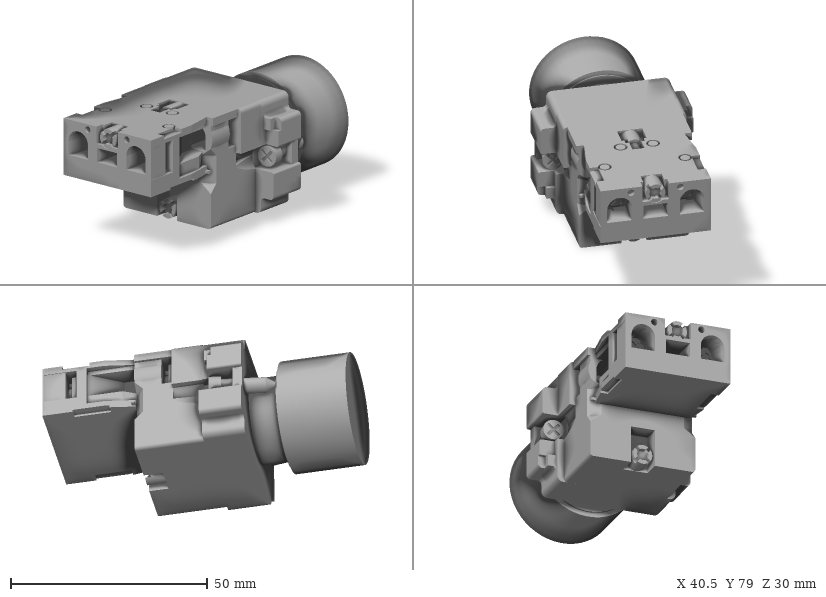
import cadquery as cq


CONTACT_BACK = 24.0
WING_FRONT = 34.0
COLLAR_FRONT = 42.0
COLLAR_BACK = 53.0
RIM_FRONT = 60.5
HEAD_FRONT = 61.0
HEAD_BACK = 79.0

HEAD_RADIUS = 14.5
RIM_RADIUS = 13.25
STEM_RADIUS = 11.0

TOP = 15.0
BODY_HALF_WIDTH = 14.4
CLAMP_SCREW_Z = 12.35
CLAMP_SCREW_RADIUS = 2.6
CLAMP_SCREW_BORE = 1.55
CLAMP_SCREW_BORE_DEPTH = 1.5
CLAMP_SLOT_WIDTH = 0.9
CLAMP_SCREW_LENGTH = 5.0
CLAMP_SCREW_SETBACK = 0.3
CLAMP_POCKET_HALF_WIDTH = 3.3

COLLAR_HALF_WIDTH = 16.2
COLLAR_CORNER = 1.6
EAR_HALF_SPAN = 20.25
EAR_INNER_Z = 3.2
EAR_OUTER_Z = 10.6
EAR_CORNER = 1.1
EAR_INNER_CORNER = 0.5
EAR_ROOT_RADIUS = 1.0
BRIDGE_HALF_SPAN = 19.2
BRIDGE_FRONT = 50.6
SCREW_WELL_INNER_X = 13.6
LATCH_FACE_Y = 44.0
LATCH_TAB_Y = 43.0
LATCH_NOTCH_Y = 45.1
LATCH_Z = 7.5
LATCH_X = 18.4

FIX_TILT = 8.1
FIX_X_AT_COLLAR_BACK = 15.2
FIX_SHANK_RADIUS = 2.0
FIX_HEAD_RADIUS = 2.7
FIX_HEAD_FRONT = 43.8
FIX_HEAD_BACK = 47.0
FIX_CONE_START = 58.4
FIX_TIP = 60.8
FIX_TIP_RADIUS = 0.6
CLEARANCE_RADIUS = 5.05
CLEARANCE_SHIFT = 1.55
CLEARANCE_OVERRUN = 1.0
UNDERCUT_DEPTH = 1.3
UNDERCUT_ROOT_Z = 0.3
UNDERCUT_BOTTOM_Z = -0.3

CROSS_WIDTH = 0.8
CROSS_DEPTH = 0.6
CROSS_HALF_LENGTH = 2.1

CARRIER_BOTTOM_FILLET = 0.9
WING_HALF_WIDTH = 16.1
WING_BOTTOM_Z = 3.1
WING_FILLET = 1.1
LIP_HALF_WIDTH = 15.1
LIP_BOTTOM_Z = 12.9
CHANNEL_Z = 9.0
CHANNEL_HALF_HEIGHT = 2.25
CHANNEL_BULGE = 0.5
CHANNEL_RADIUS = (CHANNEL_HALF_HEIGHT**2 + CHANNEL_BULGE**2) / (2 * CHANNEL_BULGE)
LEAD_Y = 31.0
SIDE_RECESS_BOTTOM_Z = 5.0
LOWER_POCKET_TOP_Z = -5.1
CORNER_CUT_X = 11.3
CORNER_CUT_Y = 26.2
CORNER_CUT_TOP = 4.3
CORNER_CUT_BOTTOM = -3.15
CORNER_TIP_RISE = 2.3

BLOCK_BOTTOM = -0.2
TAPER_HALF_WIDTH = 13.1
TAPER_START = 16.2
SHANK_RADIUS = 1.6
SHANK_FRONT = 19.1
SHANK_COLLAR_FRONT = 22.7
SHANK_COLLAR_HALF_WIDTH = 2.55
CLAMP_MOUTH_HALF_WIDTH = 3.5
CLAMP_MOUTH_DEPTH = 2.3
CLAMP_THROAT_HALF_WIDTH = 2.75
CLAMP_MOUTH_BOTTOM_Z = 10.4
FLANK_FRONT = 11.5
FLANK_TOP = 13.3
FLANK_TOP_INNER = 12.1
FLANK_LIP_X = 12.8
FLANK_DEEP_X = 8.1
FLANK_DEEP_Y = 20.0
FLANK_SHELF_X = 13.2
FLANK_LOWER_X = 11.5
FLANK_LOWER_Y = 20.7
FLANK_LEDGE = 5.25
FLANK_BOTTOM = 1.9
NUB_LENGTH = 0.9
NUB_BOTTOM = 0.2
NUB_TOP = 0.9
ARCH_X = 9.5
ARCH_INNER_X = 6.3
ARCH_OUTER_X = 12.7
ARCH_OUTER_X_DEEP = 11.0
ARCH_SPRING_Z = 9.25
ARCH_BOTTOM = 5.5
TERMINAL_BACK = 8.9
TERMINAL_FRONT = 6.0
TERMINAL_X = 9.0
TERMINAL_Z = 8.6
TERMINAL_RADIUS = 2.5
TERMINAL_ROUNDING = 0.7
PLATE_INNER_X = 6.0
PLATE_OUTER_X = 12.8
PLATE_HALF_HEIGHT = 3.5
TERMINAL_PLATE_FRONT = 7.4
TERMINAL_PLATE_BACK = 8.5
WINDOW_TOP = 12.9
WINDOW_BOTTOM = 4.3
WINDOW_RELIEF = 0.15
RELIEF_FRONT = 0.3
SLOT_HALF_WIDTH = 3.27
SLOT_TOP = 9.3
SLOT_DEPTH = 8.0
PROBE_X = 6.45
PROBE_Z = 13.55
PROBE_RADIUS = 0.9
PROBE_DEPTH = 3.0
RING_OUTER_RADIUS = 1.75
RING_INNER_RADIUS = 1.25
RING_DEPTH = 0.8
RING_CENTERS = [(-4.25, 21.0), (4.25, 21.0), (-10.5, 12.0), (10.5, 12.0)]
NOTCH_FRONT = 5.2
NOTCH_BACK = 12.3
NOTCH_WIDTH = 2.2
NOTCH_DEPTH = 1.0
FOOT_FRONT = 7.9
FOOT_BACK = 17.5
FOOT_TOP = 0.4

SIDES = (-1, 1)


def block(x0, x1, y0, y1, z0, z1):
    """Box between two opposite corners, given in any order along X."""
    size = (abs(x1 - x0), y1 - y0, z1 - z0)
    corner = (min(x0, x1), y0, z0)
    return cq.Workplane("XY").box(*size, centered=False).translate(corner)


def rod(radius, y0, y1, x=0, z=0):
    """Cylinder along +Y."""
    return cq.Workplane(cq.Solid.makeCylinder(radius, y1 - y0, cq.Vector(x, y0, z), cq.Vector(0, 1, 0)))


def polyhedron(faces):
    """Solid bounded by flat faces, each a list of corners."""
    sides = []
    for corners in faces:
        loop = cq.Wire.makePolygon([cq.Vector(*p) for p in corners], close=True)
        sides.append(cq.Face.makeFromWires(loop))
    return cq.Workplane(cq.Solid.makeSolid(cq.Shell.makeShell(sides)))


def cross_recess(x, y, z):
    """Diagonal cross cut into a screw face at the given Y."""
    length = 2 * CROSS_HALF_LENGTH
    cross = cq.Workplane("XY")
    for angle in (45, 135):
        bar = cq.Workplane("XY").box(length, CROSS_DEPTH, CROSS_WIDTH)
        cross = cross.add(turned(bar, angle))
    return cross.combine().translate((x, y + CROSS_DEPTH / 2, z))


def clamp_screw(face_y, z):
    """Hollow screw head with four diagonal slots in its rim."""
    screw = rod(CLAMP_SCREW_RADIUS, face_y, face_y + CLAMP_SCREW_LENGTH, 0, z)
    screw = screw.cut(rod(CLAMP_SCREW_BORE, face_y, face_y + CLAMP_SCREW_BORE_DEPTH, 0, z))
    for angle in (45, 135):
        slot = cq.Workplane("XY").box(2 * CLAMP_SCREW_RADIUS, CLAMP_SCREW_BORE_DEPTH, CLAMP_SLOT_WIDTH)
        slot = turned(slot, angle)
        screw = screw.cut(slot.translate((0, face_y + CLAMP_SCREW_BORE_DEPTH / 2, z)))
    return screw


def make_head():
    """Actuator head: cap with a stepped rim, and the stem."""
    profile = [
        (0, COLLAR_BACK),
        (STEM_RADIUS, COLLAR_BACK),
        (STEM_RADIUS, RIM_FRONT),
        (RIM_RADIUS, RIM_FRONT),
        (RIM_RADIUS, HEAD_FRONT),
        (HEAD_RADIUS, HEAD_FRONT),
        (HEAD_RADIUS, HEAD_BACK),
        (0, HEAD_BACK),
    ]
    return cq.Workplane("XY").polyline(profile).close().revolve(360, (0, 0, 0), (0, 1, 0))


def on_fix_axis(shape):
    """Tilt a shape built around the Y axis at Y = COLLAR_BACK onto the -X fixing screw axis."""
    pivot = (0, COLLAR_BACK, 0)
    tilted = shape.rotate(pivot, (0, COLLAR_BACK, 1), -FIX_TILT)
    return tilted.translate((-FIX_X_AT_COLLAR_BACK, 0, 0))


def turned(shape, angle):
    """A shape turned about the Y axis."""
    return shape.rotate((0, 0, 0), (0, 1, 0), angle)


def mirrored(shape, side):
    """A shape built on the -X side, moved to the wanted side."""
    return shape if side < 0 else shape.mirror("YZ")


def fix_screw():
    """Fixing screw on the -X side, with a cross head in front and a pointed tip behind."""
    profile = [
        (0, FIX_HEAD_FRONT),
        (FIX_HEAD_RADIUS, FIX_HEAD_FRONT),
        (FIX_HEAD_RADIUS, FIX_HEAD_BACK),
        (FIX_SHANK_RADIUS, FIX_HEAD_BACK),
        (FIX_SHANK_RADIUS, FIX_CONE_START),
        (FIX_TIP_RADIUS, FIX_TIP),
        (0, FIX_TIP),
    ]
    screw = cq.Workplane("XY").polyline(profile).close().revolve(360, (0, 0, 0), (0, 1, 0))
    screw = screw.cut(cross_recess(0, FIX_HEAD_FRONT, 0))
    return on_fix_axis(screw)


def driver_clearance():
    """Driver scoop in front of the -X fixing screw, with a V-shaped undercut beneath the wing."""
    path = rod(CLEARANCE_RADIUS, WING_FRONT - CLEARANCE_OVERRUN, COLLAR_FRONT + CLEARANCE_OVERRUN)
    scoop = on_fix_axis(path).translate((-CLEARANCE_SHIFT, 0, 0))
    below_wing = block(
        -2 * COLLAR_HALF_WIDTH, 0, WING_FRONT, COLLAR_FRONT, -CLEARANCE_RADIUS, WING_BOTTOM_Z
    )
    undercut = cq.Workplane("XZ", origin=(0, WING_FRONT, 0)).polyline([
        (-BODY_HALF_WIDTH, WING_BOTTOM_Z),
        (UNDERCUT_DEPTH - BODY_HALF_WIDTH, UNDERCUT_ROOT_Z),
        (-BODY_HALF_WIDTH, UNDERCUT_BOTTOM_Z),
    ]).close().extrude(WING_FRONT - COLLAR_FRONT)
    return scoop.intersect(below_wing).union(undercut)


def collar_ear(side, up):
    """Clamping ear on one side of the collar, above or below the screw."""
    z0, z1 = sorted((up * EAR_INNER_Z, up * EAR_OUTER_Z))
    ear = block(0, side * EAR_HALF_SPAN, COLLAR_FRONT, COLLAR_BACK, z0, z1)
    outer_end = "<X" if side < 0 else ">X"
    far, near = (">Z", "<Z") if up > 0 else ("<Z", ">Z")
    ear = ear.edges("|Y").edges(outer_end).edges(far).fillet(EAR_CORNER)
    return ear.edges("|Y").edges(outer_end).edges(near).fillet(EAR_INNER_CORNER)


def ear_root(side, up):
    """Concave rounding between the outer face of an ear and the side of the collar."""
    x0 = side * COLLAR_HALF_WIDTH
    x1 = x0 + side * EAR_ROOT_RADIUS
    z_far = up * (EAR_OUTER_Z + EAR_ROOT_RADIUS)
    z0, z1 = sorted((up * EAR_OUTER_Z, z_far))
    root = block(x0, x1, COLLAR_FRONT, COLLAR_BACK, z0, z1)
    return root.cut(rod(EAR_ROOT_RADIUS, COLLAR_FRONT, COLLAR_BACK, x1, z_far))


def latch_cut():
    """Stepped front of the lower -X ear, leaving a small tab near its root."""
    outer = -EAR_HALF_SPAN
    root = -COLLAR_HALF_WIDTH
    low = -EAR_OUTER_Z - EAR_ROOT_RADIUS
    step = block(outer, root, COLLAR_FRONT, LATCH_FACE_Y, low, -EAR_INNER_Z)
    tab = block(-LATCH_X, root, LATCH_TAB_Y, LATCH_FACE_Y, low, -LATCH_Z)
    notch = block(outer, -LATCH_X, COLLAR_FRONT, LATCH_NOTCH_Y, low, -LATCH_Z)
    return step.cut(tab).union(notch)


def make_collar():
    """Fixing collar with four ears and two tilted screws."""
    collar = block(-COLLAR_HALF_WIDTH, COLLAR_HALF_WIDTH, COLLAR_FRONT, COLLAR_BACK, -TOP, TOP)
    collar = collar.edges("|Y").fillet(COLLAR_CORNER)
    for side in SIDES:
        for up in SIDES:
            collar = collar.union(collar_ear(side, up)).union(ear_root(side, up))
    collar = collar.union(
        block(-BRIDGE_HALF_SPAN, BRIDGE_HALF_SPAN, COLLAR_FRONT, COLLAR_BACK, -EAR_INNER_Z, EAR_INNER_Z)
    )
    well = block(
        -EAR_HALF_SPAN, -SCREW_WELL_INNER_X, COLLAR_FRONT, BRIDGE_FRONT, -EAR_INNER_Z, EAR_INNER_Z
    )
    for angle in (0, 180):
        collar = collar.cut(turned(well, angle)).cut(turned(latch_cut(), angle))
        collar = collar.union(turned(fix_screw(), angle))
    return collar


def corner_cut(side):
    """Chamfer on a front corner of the carrier, running out to a point at both ends."""
    outer = side * BODY_HALF_WIDTH
    ends = []
    for z, tip_z in (
        (CORNER_CUT_BOTTOM, CORNER_CUT_BOTTOM - CORNER_TIP_RISE),
        (CORNER_CUT_TOP, CORNER_CUT_TOP + CORNER_TIP_RISE),
    ):
        deep = (outer, CORNER_CUT_Y, z)
        wide = (side * CORNER_CUT_X, CONTACT_BACK, z)
        tip = (outer, CONTACT_BACK, tip_z)
        ends.append((deep, wide, tip))
    (deep0, wide0, tip0), (deep1, wide1, tip1) = ends
    return polyhedron([
        [deep0, wide0, wide1, deep1],
        [deep0, wide0, tip0],
        [deep1, wide1, tip1],
        [wide0, tip0, tip1, wide1],
        [deep0, tip0, tip1, deep1],
    ])


def carrier_side(side):
    """Wing and top lip added to one side of the carrier."""
    wing = block(0, side * WING_HALF_WIDTH, WING_FRONT, COLLAR_FRONT, WING_BOTTOM_Z, TOP)
    wing = wing.edges("|Y and >Z").edges("<X" if side < 0 else ">X").fillet(WING_FILLET)
    lip = block(0, side * LIP_HALF_WIDTH, CONTACT_BACK, WING_FRONT, LIP_BOTTOM_Z, TOP)
    return wing.union(lip)


def lead_bulge(side):
    """Shallow rounded swelling of the side wall in front of the terminal recess."""
    edge = side * BODY_HALF_WIDTH
    axis_x = edge - side * (CHANNEL_RADIUS - CHANNEL_BULGE)
    full = rod(CHANNEL_RADIUS, CONTACT_BACK, LEAD_Y, axis_x, CHANNEL_Z)
    outside = block(
        edge - side * CHANNEL_BULGE, edge + side * CHANNEL_BULGE, CONTACT_BACK, LEAD_Y,
        CHANNEL_Z - CHANNEL_RADIUS, CHANNEL_Z + CHANNEL_RADIUS,
    )
    return full.intersect(outside)


def make_carrier():
    """Carrier between the collar and the contact block."""
    carrier = block(-BODY_HALF_WIDTH, BODY_HALF_WIDTH, CONTACT_BACK, COLLAR_FRONT, -TOP, TOP)
    carrier = carrier.edges("|Y and <Z").fillet(CARRIER_BOTTOM_FILLET)
    for side in SIDES:
        edge = side * BODY_HALF_WIDTH
        recess = block(
            edge, side * ARCH_X, LEAD_Y, WING_FRONT, SIDE_RECESS_BOTTOM_Z, LIP_BOTTOM_Z
        )
        carrier = carrier.union(carrier_side(side)).union(lead_bulge(side))
        carrier = carrier.cut(recess)
        carrier = carrier.cut(wire_entry(side).translate((0, CONTACT_BACK, 0)))
        carrier = carrier.cut(corner_cut(side))
        carrier = carrier.cut(mirrored(driver_clearance(), side))
        carrier = carrier.union(terminal(side).translate((0, WING_FRONT - TERMINAL_BACK, 0)))

    pocket_back = CONTACT_BACK + CLAMP_SCREW_LENGTH
    half = CLAMP_POCKET_HALF_WIDTH
    carrier = carrier.cut(block(-half, half, CONTACT_BACK, pocket_back, CLAMP_SCREW_Z, TOP))
    carrier = carrier.cut(block(-half, half, CONTACT_BACK, pocket_back, -TOP, LOWER_POCKET_TOP_Z))
    carrier = carrier.union(clamp_screw(CONTACT_BACK, CLAMP_SCREW_Z))
    return carrier.union(clamp_screw(CONTACT_BACK, -CLAMP_SCREW_Z))


def flank_cut(side):
    """Stepped hollow in one rear flank of the contact block, with a stepped ceiling."""
    outer = side * BODY_HALF_WIDTH
    deep = side * FLANK_DEEP_X
    shelf = side * FLANK_SHELF_X
    upper = [
        (outer, CONTACT_BACK), (deep, CONTACT_BACK), (deep, FLANK_DEEP_Y),
        (shelf, FLANK_FRONT), (outer, FLANK_FRONT),
    ]
    lower = [
        (outer, CONTACT_BACK), (side * FLANK_LOWER_X, CONTACT_BACK), (shelf, FLANK_LOWER_Y),
        (shelf, FLANK_FRONT), (outer, FLANK_FRONT),
    ]
    hollow = cq.Workplane("XY").workplane(offset=FLANK_LEDGE).polyline(upper).close()
    hollow = hollow.extrude(FLANK_TOP_INNER - FLANK_LEDGE)
    base = cq.Workplane("XY").workplane(offset=FLANK_BOTTOM).polyline(lower).close()
    base = base.extrude(FLANK_LEDGE - FLANK_BOTTOM)
    lip = block(
        outer, side * FLANK_LIP_X, FLANK_FRONT, CONTACT_BACK, FLANK_TOP_INNER, FLANK_TOP
    )
    return hollow.union(base).union(lip)


def terminal(side):
    """Terminal screw with a rounded head, standing on its square clamping plate."""
    x = side * TERMINAL_X
    screw = rod(TERMINAL_RADIUS, TERMINAL_FRONT, TERMINAL_BACK, x, TERMINAL_Z)
    screw = screw.faces("<Y").edges().fillet(TERMINAL_ROUNDING)
    screw = screw.cut(cross_recess(x, TERMINAL_FRONT, TERMINAL_Z))
    plate = block(
        side * PLATE_INNER_X, side * PLATE_OUTER_X, TERMINAL_PLATE_FRONT, TERMINAL_PLATE_BACK,
        TERMINAL_Z - PLATE_HALF_HEIGHT, TERMINAL_Z + PLATE_HALF_HEIGHT,
    )
    return screw.union(plate)


def arch_wire(wall_x, y):
    """Arched outline at a given depth, from the inner wall out to wall_x."""
    radius = (wall_x - ARCH_INNER_X) / 2
    mid = ARCH_INNER_X + radius
    plane = cq.Workplane("XZ", origin=(0, y, 0))
    arch = plane.moveTo(ARCH_INNER_X, ARCH_BOTTOM).lineTo(wall_x, ARCH_BOTTOM)
    arch = arch.lineTo(wall_x, ARCH_SPRING_Z)
    arch = arch.threePointArc((mid, ARCH_SPRING_Z + radius), (ARCH_INNER_X, ARCH_SPRING_Z))
    return arch.close().val()


def wire_entry(side):
    """Arched wire entry, narrowing with depth."""
    wires = [arch_wire(ARCH_OUTER_X, 0), arch_wire(ARCH_OUTER_X_DEEP, TERMINAL_BACK)]
    entry = cq.Workplane(cq.Solid.makeLoft(wires, True))
    return entry if side > 0 else entry.mirror("YZ")


def terminal_cut(side):
    """Wire entry in front, joined to a side window."""
    edge = side * BODY_HALF_WIDTH
    window = block(side * ARCH_X, edge, TERMINAL_FRONT, TERMINAL_BACK, WINDOW_BOTTOM, WINDOW_TOP)
    relief = block(
        edge - side * WINDOW_RELIEF, edge, RELIEF_FRONT, TERMINAL_FRONT, WINDOW_BOTTOM, WINDOW_TOP
    )
    return wire_entry(side).union(window).union(relief)


def make_contact():
    """Contact block with tapered rear corners."""
    outline = [
        (-BODY_HALF_WIDTH, 0), (BODY_HALF_WIDTH, 0),
        (BODY_HALF_WIDTH, TAPER_START), (TAPER_HALF_WIDTH, CONTACT_BACK),
        (-TAPER_HALF_WIDTH, CONTACT_BACK), (-BODY_HALF_WIDTH, TAPER_START),
    ]
    contact = cq.Workplane("XY").workplane(offset=BLOCK_BOTTOM).polyline(outline).close()
    contact = contact.extrude(TOP - BLOCK_BOTTOM)
    for side in SIDES:
        edge = side * BODY_HALF_WIDTH
        contact = contact.cut(flank_cut(side)).cut(terminal_cut(side)).union(terminal(side))
        contact = contact.union(
            block(side * FLANK_LOWER_X, edge, CONTACT_BACK - NUB_LENGTH, CONTACT_BACK, NUB_BOTTOM, NUB_TOP)
        )
        contact = contact.cut(
            block(edge, edge - side * NOTCH_WIDTH, NOTCH_FRONT, NOTCH_BACK, TOP - NOTCH_DEPTH, TOP)
        )
        contact = contact.cut(
            block(edge, edge - side * NOTCH_WIDTH, FOOT_FRONT, FOOT_BACK, BLOCK_BOTTOM, FOOT_TOP)
        )
        contact = contact.cut(rod(PROBE_RADIUS, 0, PROBE_DEPTH, side * PROBE_X, PROBE_Z))
    contact = contact.cut(block(-SLOT_HALF_WIDTH, SLOT_HALF_WIDTH, 0, SLOT_DEPTH, ARCH_BOTTOM, SLOT_TOP))
    for x, y in RING_CENTERS:
        ring = cq.Workplane("XY").circle(RING_OUTER_RADIUS).circle(RING_INNER_RADIUS).extrude(RING_DEPTH)
        contact = contact.cut(ring.translate((x, y, TOP - RING_DEPTH)))
    return contact


def with_clamp_details(contact):
    """Front clamp screw in its mouth and the rear screw shank in its trough."""
    mouth = block(
        -CLAMP_MOUTH_HALF_WIDTH, CLAMP_MOUTH_HALF_WIDTH, 0, CLAMP_MOUTH_DEPTH, CLAMP_MOUTH_BOTTOM_Z, TOP
    )
    seat_back = CLAMP_SCREW_SETBACK + CLAMP_SCREW_LENGTH
    seat = rod(CLAMP_SCREW_RADIUS, 0, seat_back, 0, CLAMP_SCREW_Z)
    throat = block(-CLAMP_THROAT_HALF_WIDTH, CLAMP_THROAT_HALF_WIDTH, 0, seat_back, CLAMP_SCREW_Z, TOP)
    contact = contact.cut(mouth).cut(seat).cut(throat)
    contact = contact.union(clamp_screw(CLAMP_SCREW_SETBACK, CLAMP_SCREW_Z))
    for half, y0 in ((SHANK_RADIUS, SHANK_FRONT), (SHANK_COLLAR_HALF_WIDTH, SHANK_COLLAR_FRONT)):
        contact = contact.cut(block(-half, half, y0, CONTACT_BACK, CLAMP_SCREW_Z, TOP))
    return contact.union(rod(SHANK_RADIUS, SHANK_FRONT, CONTACT_BACK, 0, CLAMP_SCREW_Z))


head = make_head()
collar = make_collar()
carrier = make_carrier()
contact = with_clamp_details(make_contact())

bodies = (head, collar, carrier, contact)
result = cq.Compound.makeCompound([body.solids().val() for body in bodies])